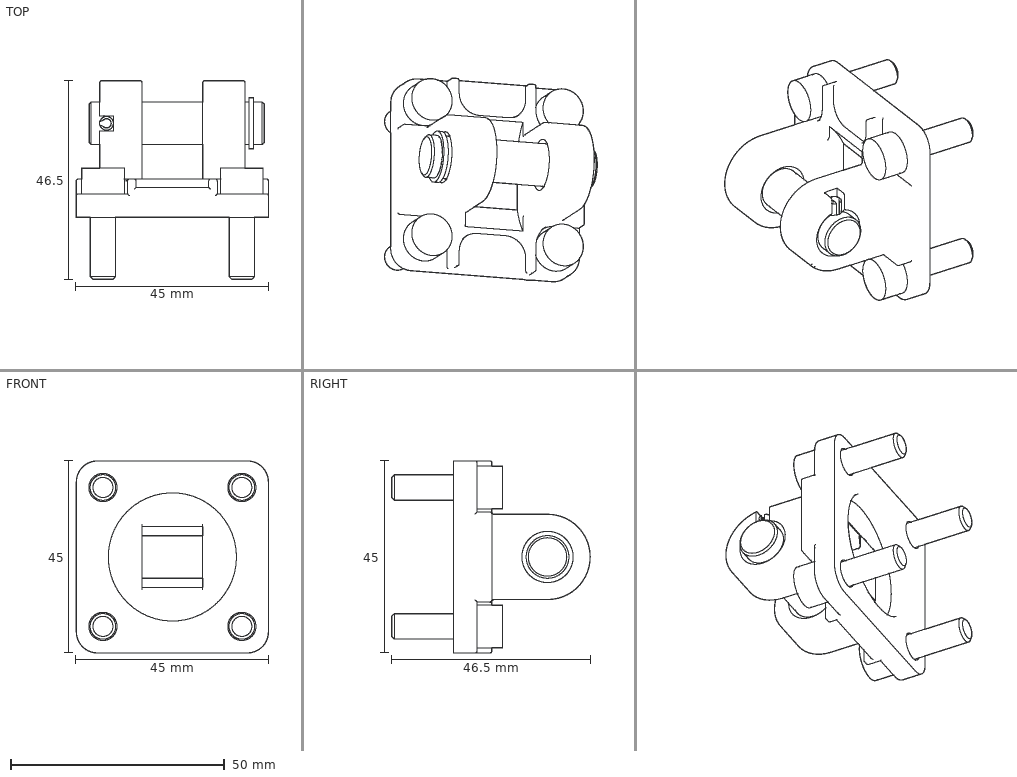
import cadquery as cq
import math

tolerance = 0.01
clearance = 1.0

plate_size = 45.0
plate_half = plate_size / 2
plate_thickness = 9.0
plate_corner_radius = 5.0
edge_round = 0.5

recess_diameter = 30.0
recess_depth = 5.0
recess_edge_round = 1.0

screw_spacing = 32.5
screw_offset = screw_spacing / 2
screw_diameter = 6.0
screw_length = 20.0
screw_tip_chamfer = 0.65
head_diameter = 10.0
head_height = 6.0
screw_hole_diameter = 6.6
seat_level = 5.5
seat_radius = 5.75

notch_width = 17.0
notch_level = 7.0
notch_corner_radius = 5.0
notch_inner_end = 14.0

ear_gap = 14.2
ear_span = 34.0
ear_radius = 10.0
ear_inner = ear_gap / 2
ear_outer = ear_span / 2
ear_width = ear_outer - ear_inner
pivot_y = 22.0
window_height = 14.2
swing_radius = math.hypot(pivot_y - recess_depth, window_height / 2)

pin_diameter = 10.0
pin_start = -19.5
pin_end = 21.5
pin_chamfer = 0.5
countersink_depth = 1.0
ring_diameter = 12.0
ring_groove_diameter = 9.5
ring_start = 17.9
ring_width = 1.1

lock_diameter = 3.2
lock_chamfer = 0.5
lock_top = 8.5
lock_bore_diameter = 2.1
lock_bore_floor = 3.0
lock_slit_inner_width = 1.6
lock_slit_inner_offset = 0.6
lock_slit_outer_width = 0.8
lock_slot_width = 3.5
lock_x = -ear_outer + lock_diameter / 2

corner_signs = [(sx, sz) for sx in (-1, 1) for sz in (-1, 1)]
screw_centres = [(sx * screw_offset, sz * screw_offset) for sx, sz in corner_signs]


def plane_at_y(y):
    """Workplane at the given Y: local x is X, local y is Z, and extruding a negative depth goes +Y."""
    return cq.Workplane("XZ", origin=(0, y, 0))


def cylinder_along_y(x, z, diameter, y_start, y_end):
    return plane_at_y(y_start).center(x, z).circle(diameter / 2).extrude(y_start - y_end)


def cylinder_on_pivot(diameter, x_start, x_end):
    pivot_plane = cq.Workplane("YZ", origin=(x_start, pivot_y, 0))
    return pivot_plane.circle(diameter / 2).extrude(x_end - x_start)


def cylinder_on_lock(diameter, z_start, z_end):
    lock_plane = cq.Workplane("XY", origin=(lock_x, pivot_y, z_start))
    return lock_plane.circle(diameter / 2).extrude(z_end - z_start)


def screw_seat(sx, sz):
    """Corner pocket, open to both plate edges, whose inner corner is round about the screw."""
    inner = screw_offset - seat_radius
    side = plate_half + clearance - inner
    centre = inner + side / 2
    block = plane_at_y(seat_level).center(sx * centre, sz * centre).rect(side, side)
    block = block.extrude(seat_level - plate_thickness)
    inner_corner = cq.selectors.NearestToPointSelector((sx * inner, plate_thickness, sz * inner))
    return block.edges("|Y").edges(inner_corner).fillet(seat_radius)


def edge_notch(sz):
    """Shallow notch, open to the top or bottom plate edge, with round inner corners."""
    length = plate_half + clearance - notch_inner_end
    centre = notch_inner_end + length / 2
    block = plane_at_y(notch_level).center(0, sz * centre).rect(notch_width, length)
    block = block.extrude(notch_level - plate_thickness)
    inner_side = "<Z" if sz > 0 else ">Z"
    return block.edges("|Y").edges(inner_side).fillet(notch_corner_radius)


def is_plate_rim(edge):
    """True for edges of the plate's back face and for edges where pockets break its outer wall."""
    point = edge.positionAt(0.5)
    if point.y < seat_level - tolerance:
        return False
    straight_half = plate_half - plate_corner_radius
    past_x = max(abs(point.x) - straight_half, 0)
    past_z = max(abs(point.z) - straight_half, 0)
    on_outer_wall = math.hypot(past_x, past_z) > plate_corner_radius - tolerance
    on_back_face = point.y > plate_thickness - tolerance
    return on_outer_wall or on_back_face


def make_plate():
    plate = plane_at_y(0).rect(plate_size, plate_size).extrude(-plate_thickness)
    plate = plate.edges("|Y").fillet(plate_corner_radius)
    for sx, sz in corner_signs:
        plate = plate.cut(screw_seat(sx, sz))
    for sz in (-1, 1):
        plate = plate.cut(edge_notch(sz))
    rim = [edge for edge in plate.edges().vals() if is_plate_rim(edge)]
    return plate.newObject(rim).fillet(edge_round)


def make_ear(side):
    ear = (
        cq.Workplane("YZ", origin=(side * (ear_inner + ear_outer) / 2, 0, 0))
        .moveTo(plate_thickness, -ear_radius)
        .lineTo(pivot_y, -ear_radius)
        .threePointArc((pivot_y + ear_radius, 0), (pivot_y, ear_radius))
        .lineTo(plate_thickness, ear_radius)
        .close()
        .extrude(ear_width / 2, both=True)
    )
    return ear.faces("<X or >X").edges("not <Y").fillet(edge_round)


def is_ear_base(edge):
    """True for edges where an ear stands on the back face of the plate."""
    point = edge.positionAt(0.5)
    on_back_face = abs(point.y - plate_thickness) < tolerance
    within_ear_x = ear_inner - tolerance < abs(point.x) < ear_outer + tolerance
    return on_back_face and within_ear_x and abs(point.z) < ear_radius + tolerance


def pin_countersink(x_face, direction):
    """Cone around the pin hole that narrows from an ear face in the given X direction."""
    rim_radius = pin_diameter / 2 + countersink_depth
    axis = cq.Vector(direction, 0, 0)
    start = cq.Vector(x_face, pivot_y, 0)
    return cq.Solid.makeCone(rim_radius, pin_diameter / 2, countersink_depth, start, axis)


def lock_slot():
    """Slot in the -X face of the left ear, from its top down to the pin hole."""
    slot_plane = cq.Workplane("XY", origin=(lock_x, pivot_y, 0))
    return slot_plane.rect(lock_diameter, lock_slot_width).extrude(ear_radius + clearance)


def make_housing():
    body = make_plate()
    for side in (-1, 1):
        body = body.union(make_ear(side))
    base = [edge for edge in body.edges().vals() if is_ear_base(edge)]
    body = body.newObject(base).fillet(edge_round)

    recess_rim = recess_diameter + 2 * recess_edge_round
    recess = cylinder_along_y(0, 0, recess_diameter, 0, recess_depth)
    body = body.cut(recess)
    body = body.edges(cq.selectors.BoxSelector(
        (-recess_rim / 2, -tolerance, -recess_rim / 2),
        (recess_rim / 2, tolerance, recess_rim / 2),
    )).fillet(recess_edge_round)
    body = body.cut(cylinder_on_pivot(2 * swing_radius, -ear_inner, ear_inner))

    for x, z in screw_centres:
        body = body.cut(cylinder_along_y(x, z, screw_hole_diameter, 0, plate_thickness))

    body = body.cut(cylinder_on_pivot(pin_diameter, -ear_outer, ear_outer))
    for side in (-1, 1):
        body = body.cut(cq.Workplane(pin_countersink(side * ear_outer, -side)))
        body = body.cut(cq.Workplane(pin_countersink(side * ear_inner, side)))
    return body.cut(lock_slot())


def make_screw(x, z):
    shank = cylinder_along_y(x, z, screw_diameter, seat_level - screw_length, seat_level)
    shank = shank.faces("<Y").chamfer(screw_tip_chamfer)
    return shank.union(cylinder_along_y(x, z, head_diameter, seat_level, seat_level + head_height))


def make_retaining_ring():
    ring = cylinder_on_pivot(ring_diameter, ring_start, ring_start + ring_width)
    return ring.cut(cylinder_on_pivot(ring_groove_diameter, ring_start, ring_start + ring_width))


def lock_bore():
    """Bore of the spring pin with a slit that narrows towards its -X side."""
    inner_x = lock_x - lock_slit_inner_offset
    outer_x = lock_x - lock_diameter / 2
    slit = (
        cq.Workplane("XY", origin=(0, pivot_y, lock_bore_floor))
        .moveTo(lock_x, -lock_slit_inner_width / 2)
        .lineTo(inner_x, -lock_slit_inner_width / 2)
        .lineTo(outer_x, -lock_slit_outer_width / 2)
        .lineTo(outer_x, lock_slit_outer_width / 2)
        .lineTo(inner_x, lock_slit_inner_width / 2)
        .lineTo(lock_x, lock_slit_inner_width / 2)
        .close()
        .extrude(lock_top - lock_bore_floor)
    )
    return cylinder_on_lock(lock_bore_diameter, lock_bore_floor, lock_top).union(slit)


def make_clevis_pin():
    """Round pin, grooved for the ring, with a slit spring pin standing up from it in the ear slot."""
    pin = cylinder_on_pivot(pin_diameter, pin_start, pin_end).faces("<X or >X").chamfer(pin_chamfer)
    lock = cylinder_on_lock(lock_diameter, 0, lock_top).faces(">Z").chamfer(lock_chamfer)
    return pin.cut(make_retaining_ring()).union(lock).cut(lock_bore())


housing = make_housing()
screws = [make_screw(x, z) for x, z in screw_centres]
clevis_pin = make_clevis_pin()
retaining_ring = make_retaining_ring()

result = cq.Compound.makeCompound(
    [housing.val(), *[screw.val() for screw in screws], clevis_pin.val(), retaining_ring.val()]
)